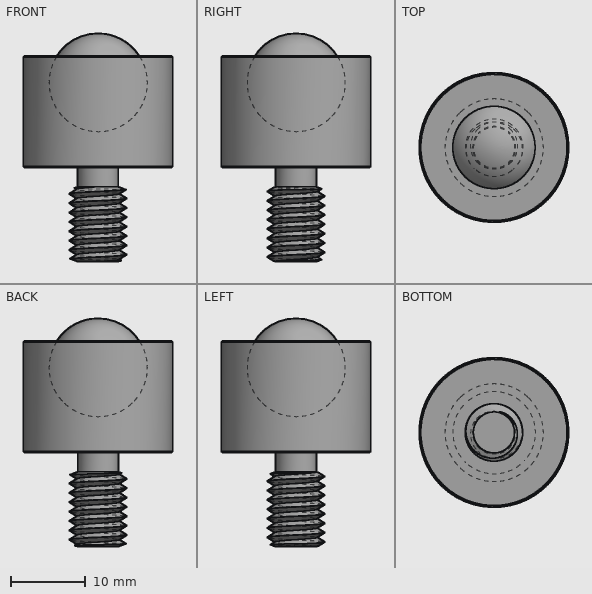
import cadquery as cq
import math

total_height = 30.5
thread_length = 10.0
housing_bottom = 12.5
housing_top = 27.5

housing_diameter = 20.0
housing_chamfer = 0.25

opening_radius = 11.0 / 2
ball_rise = total_height - housing_top
ball_radius = (opening_radius**2 + ball_rise**2) / (2 * ball_rise)
ball_center_z = total_height - ball_radius

neck_radius = 5.5 / 2
root_radius = 2.87
crest_radius = 3.85
pitch = 1.25
thread_end_taper = 0.43
crest_height_at_minus_x = 0.3
crest_land = 0.03
groove_overrun = 0.15
spare_turns = 2


def cylinder(radius, bottom, top):
    return cq.Workplane("XY").workplane(offset=bottom).circle(radius).extrude(top - bottom)


def make_thread_groove():
    """V groove bounded by ruled helical faces, running past both ends of the thread."""
    turns = math.ceil(thread_length / pitch) + 2 * spare_turns
    length = turns * pitch
    start_z = crest_height_at_minus_x - spare_turns * pitch
    half_width = (pitch - crest_land) / 2
    outer_radius = crest_radius + groove_overrun
    corners = [
        (root_radius, start_z),
        (crest_radius, start_z + half_width),
        (outer_radius, start_z + half_width),
        (outer_radius, start_z - half_width),
        (crest_radius, start_z - half_width),
    ]
    helices = [
        cq.Wire.makeHelix(pitch, length, radius).translate(cq.Vector(0, 0, height))
        for radius, height in corners
    ]
    next_helices = helices[1:] + helices[:1]
    faces = [cq.Face.makeRuledSurface(*pair) for pair in zip(helices, next_helices)]
    for rise in (0, length):
        cap_points = [cq.Vector(radius, 0, height + rise) for radius, height in corners]
        faces.append(cq.Face.makeFromWires(cq.Wire.makePolygon(cap_points, close=True)))
    groove = cq.Solid.makeSolid(cq.Shell.makeShell(faces)).fix()
    return cq.Workplane(groove)


def make_thread_blank():
    """Cylinder at the crest radius with both ends tapered down to the neck radius."""
    return (
        cq.Workplane("XZ")
        .moveTo(0, 0)
        .lineTo(neck_radius, 0)
        .lineTo(crest_radius, thread_end_taper)
        .lineTo(crest_radius, thread_length - thread_end_taper)
        .lineTo(neck_radius, thread_length)
        .lineTo(0, thread_length)
        .close()
        .revolve(360, (0, 0), (0, 1))
    )


def make_thread():
    return make_thread_blank().cut(make_thread_groove())


def make_ball():
    return cq.Workplane("XY").sphere(ball_radius).translate((0, 0, ball_center_z))


def make_housing():
    """Chamfered cylinder with its threaded stud and a spherical seat for the ball."""
    drum = cylinder(housing_diameter / 2, housing_bottom, housing_top)
    drum = drum.faces("<Z or >Z").chamfer(housing_chamfer)
    neck = cylinder(neck_radius, thread_length, housing_bottom)
    return drum.cut(make_ball()).union(neck).union(make_thread())


housing = make_housing()
ball = make_ball()
result = cq.Compound.makeCompound([housing.solids().val(), ball.val()])